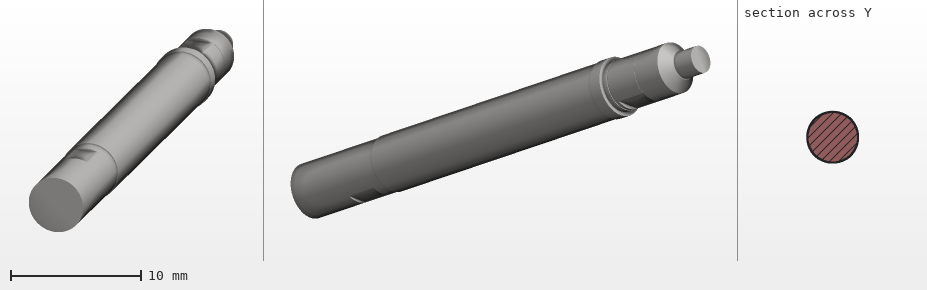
import cadquery as cq

total_length = 40.9
tip_y = total_length / 2

pin_end = 1.8
cone_end = 2.65
head_end = 5.0
joint_end = 5.07
neck_end = 7.85
groove_end = 7.98
ring_end = 8.43
collar_end = 9.4
barrel_end = 32.35

pin_diameter = 2.15
head_diameter = 4.05
joint_diameter = 4.0
groove_diameter = 3.93
collar_diameter = 4.7
barrel_diameter = 4.55
shank_diameter = 4.38

cone_tip_diameter = head_diameter - 2 * (cone_end - pin_end)

flat_length = 2.55
head_flat_start = joint_end
head_flat_thickness = 3.48
shank_flat_start = 33.4
shank_flat_thickness = 3.95


def turned_body():
    """Revolve the stepped half profile around the Y axis."""
    sections = [
        (pin_end, pin_diameter, pin_diameter),
        (cone_end, cone_tip_diameter, head_diameter),
        (head_end, head_diameter, head_diameter),
        (joint_end, joint_diameter, joint_diameter),
        (neck_end, head_diameter, head_diameter),
        (groove_end, groove_diameter, groove_diameter),
        (ring_end, head_diameter, head_diameter),
        (collar_end, collar_diameter, collar_diameter),
        (barrel_end, barrel_diameter, barrel_diameter),
        (total_length, shank_diameter, shank_diameter),
    ]
    outline = [(0, tip_y)]
    start = 0
    for end, near_diameter, far_diameter in sections:
        near_corner = (near_diameter / 2, tip_y - start)
        if near_corner != outline[-1]:
            outline.append(near_corner)
        outline.append((far_diameter / 2, tip_y - end))
        start = end
    outline.append((0, tip_y - total_length))
    return cq.Workplane("XY").polyline(outline).close().revolve(360, (0, 0), (0, 1))


def cut_flats(body, start, thickness):
    """Cut a pair of opposed flats, leaving the given thickness between them."""
    center_y = tip_y - start - flat_length / 2
    cutter = cq.Workplane("XY").box(collar_diameter, flat_length, collar_diameter)
    for side in (1, -1):
        center_z = side * (thickness + collar_diameter) / 2
        body = body.cut(cutter.translate((0, center_y, center_z)))
    return body


result = turned_body()
result = cut_flats(result, head_flat_start, head_flat_thickness)
result = cut_flats(result, shank_flat_start, shank_flat_thickness)